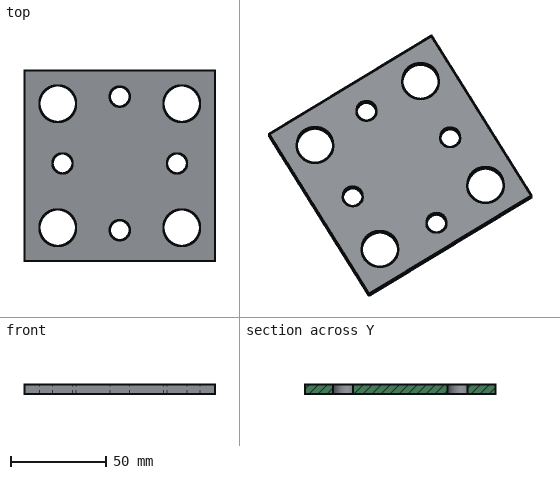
import cadquery as cq

side = 100.0
thickness = 5.2

corner_hole_diameter = 19.1
corner_hole_spacing = 65.0

small_hole_diameter = 10.4
small_hole_offset_x = 30.0
small_hole_offset_y = 35.0
small_hole_pattern_y = 1.2


def cut_corner_holes(plate):
    """Cut one large through hole near each corner."""
    return (
        plate.faces(">Z")
        .workplane()
        .rarray(corner_hole_spacing, corner_hole_spacing, 2, 2)
        .hole(corner_hole_diameter)
    )


def cut_small_holes(plate):
    """Cut a small through hole at each end of the shifted cross."""
    centres = [
        (-small_hole_offset_x, small_hole_pattern_y),
        (small_hole_offset_x, small_hole_pattern_y),
        (0, small_hole_pattern_y - small_hole_offset_y),
        (0, small_hole_pattern_y + small_hole_offset_y),
    ]
    return plate.faces(">Z").workplane().pushPoints(centres).hole(small_hole_diameter)


plate = cq.Workplane("XY").box(side, side, thickness)
result = cut_small_holes(cut_corner_holes(plate))